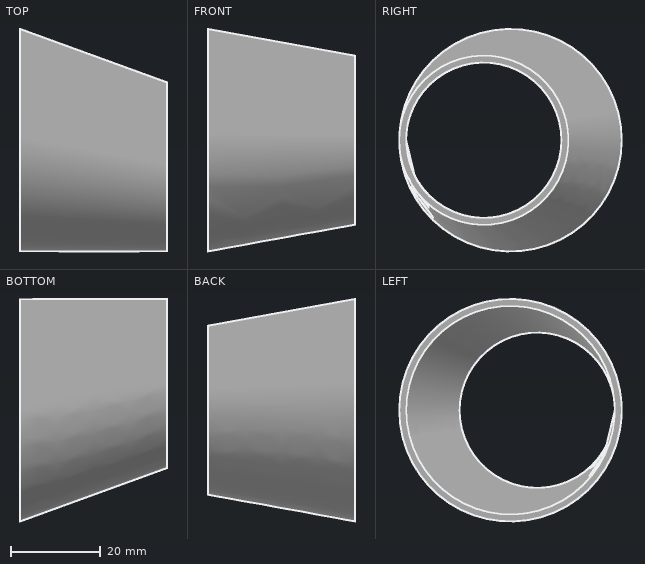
import cadquery as cq

length = 33.0
large_diameter = 50.0
small_diameter = 38.0
wall = 1.6

offset = (large_diameter - small_diameter) / 2


def eccentric_cone(start_diameter, end_diameter):
    """Solid lofted between a centred circle and a smaller one shifted to -Y."""
    return (
        cq.Workplane("YZ")
        .circle(start_diameter / 2)
        .workplane(offset=length)
        .center(-offset, 0)
        .circle(end_diameter / 2)
        .loft(ruled=True, combine=True)
    )


outer = eccentric_cone(large_diameter, small_diameter)
bore = eccentric_cone(large_diameter - 2 * wall, small_diameter - 2 * wall)

result = outer.cut(bore)